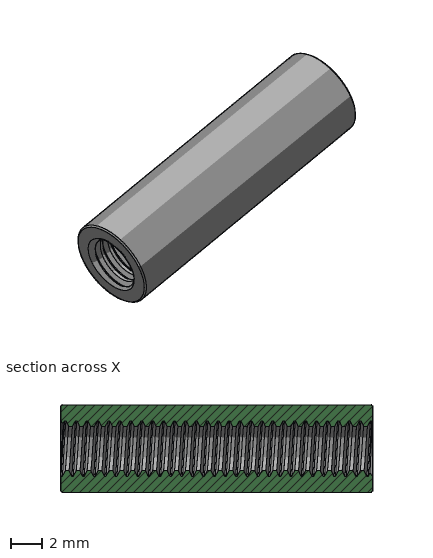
import cadquery as cq
import math

length = 20.0
outer_diameter = 5.95
outer_chamfer = 0.1
bore_diameter = 3.35
mouth_diameter = 4.0
thread_pitch = 0.7
thread_root_diameter = 4.0
thread_start_angle = -90.0
flank_angle = 30.0

groove_overlap = 0.05
tool_clearance = 0.2

bore_radius = bore_diameter / 2
mouth_radius = mouth_diameter / 2
root_radius = thread_root_diameter / 2
mouth_depth = mouth_radius - bore_radius
root_flat = thread_pitch / 8


def plain_tube():
    """Tube with chamfered outer edges and a plain bore."""
    rod = cq.Workplane("XY").circle(outer_diameter / 2).extrude(length)
    rod = rod.faces("<Z or >Z").edges().chamfer(outer_chamfer)
    bore = cq.Workplane("XY").circle(bore_radius).extrude(length)
    return rod.cut(bore)


def groove_corners():
    """Corners (radius, height) of the V groove with its flat root."""
    inner_radius = bore_radius - groove_overlap
    half_root = root_flat / 2
    flank_rise = (root_radius - inner_radius) * math.tan(math.radians(flank_angle))
    half_opening = half_root + flank_rise
    return [
        (inner_radius, -half_opening),
        (root_radius, -half_root),
        (root_radius, half_root),
        (inner_radius, half_opening),
    ]


def helix_turn(radius, height):
    """One right-hand turn of a helix that starts at the given height."""
    turn = cq.Wire.makeHelix(thread_pitch, thread_pitch, radius, center=cq.Vector(0, 0, height))
    return turn.Edges()[0]


def thread_cutter():
    """Helical groove, skinned turn by turn, that runs out past both ends of the tube."""
    corners = groove_corners()
    sides = list(zip(corners, corners[1:] + corners[:1]))
    first_turn = -1
    last_turn = math.ceil(length / thread_pitch) + 1

    faces = []
    for turn in range(first_turn, last_turn):
        base = turn * thread_pitch
        for (radius_a, height_a), (radius_b, height_b) in sides:
            edge_a = helix_turn(radius_a, base + height_a)
            edge_b = helix_turn(radius_b, base + height_b)
            faces.append(cq.Face.makeRuledSurface(edge_a, edge_b))

    for end in (first_turn, last_turn):
        outline = [cq.Vector(radius, 0, end * thread_pitch + height) for radius, height in corners]
        faces.append(cq.Face.makeFromWires(cq.Wire.makePolygon(outline, close=True)))

    groove = cq.Solid.makeSolid(cq.Shell.makeShell(faces))
    return cq.Workplane(groove).rotate((0, 0, 0), (0, 0, 1), thread_start_angle)


def mouth_cutter():
    """Cone that opens the bore at the Z = 0 end."""
    return (
        cq.Workplane("XZ")
        .polyline([
            (0, -tool_clearance),
            (mouth_radius + tool_clearance, -tool_clearance),
            (bore_radius - tool_clearance, mouth_depth + tool_clearance),
            (0, mouth_depth + tool_clearance),
        ])
        .close()
        .revolve(360, (0, 0, 0), (0, 1, 0))
    )


near_mouth = mouth_cutter()
far_mouth = near_mouth.mirror("XY").translate((0, 0, length))
spacer = plain_tube().cut(thread_cutter()).cut(near_mouth).cut(far_mouth)

result = spacer.translate((0, 0, -length / 2)).rotate((0, 0, 0), (1, 0, 0), 90)